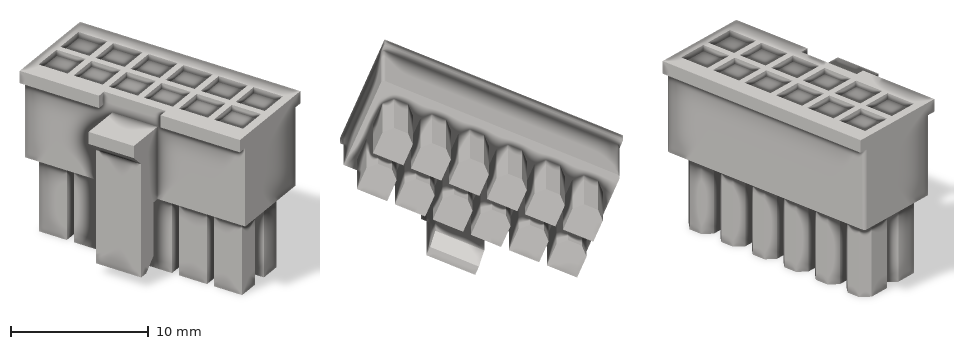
import cadquery as cq


width = 18.85
overall_depth = 10.85
overall_height = 14.0

flange_depth = 8.3
flange_height = 1.04
notch_width = 5.28

back_step = 0.45
front_step = 0.72
body_bottom_z = -7.63
back_corner_radius = 0.26
body_back_y = -back_step
body_front_y = -(flange_depth - front_step)

columns = 6
rows = 2
column_span = 15.0
pitch = column_span / (columns - 1)
pocket_size = 2.49
pocket_depth = 0.5
pocket_back_row_y = -2.55
leg_size = 2.4
leg_chamfer = 0.65
leg_back_row_y = -2.64

latch_width = 3.86
latch_top_z = -1.55
latch_bottom_z = -13.12
latch_gap = 0.58
latch_thickness = 1.68
latch_tip_chamfer = 0.98
hook_face_height = 1.02
hook_front_y = -overall_depth
latch_inner_y = body_front_y - latch_gap
latch_outer_y = latch_inner_y - latch_thickness
hook_overhang = latch_outer_y - hook_front_y


def block(size_x, back_y, front_y, top_z, bottom_z):
    """Box centred on X = 0 between the given Y and Z limits."""
    return (
        cq.Workplane("XY", origin=(0, (back_y + front_y) / 2, bottom_z))
        .rect(size_x, back_y - front_y)
        .extrude(top_z - bottom_z)
    )


def grid_points(back_row_y):
    """Centres of all columns and rows, with the back row at the given Y."""
    return [
        (column * pitch - column_span / 2, back_row_y - row * pitch)
        for column in range(columns)
        for row in range(rows)
    ]


def make_housing():
    """Body with rounded back corners under a flange notched above the latch."""
    body = block(width, body_back_y, body_front_y, 0, body_bottom_z)
    body = body.edges("|Z and >Y").fillet(back_corner_radius)
    flange = block(width, 0, -flange_depth, 0, -flange_height)
    notch = block(notch_width, body_front_y, -flange_depth, 0, -flange_height)
    return body.union(flange.cut(notch))


def make_pockets():
    """Shallow square recesses in the top face."""
    return (
        cq.Workplane("XY")
        .pushPoints(grid_points(pocket_back_row_y))
        .rect(pocket_size, pocket_size)
        .extrude(-pocket_depth)
    )


def make_legs():
    """Square legs under the body, each with its two back corners chamfered."""
    leg_length = overall_height + body_bottom_z
    leg = (
        cq.Workplane("XY", origin=(0, 0, -overall_height))
        .rect(leg_size, leg_size)
        .extrude(leg_length)
        .edges("|Z and >Y")
        .chamfer(leg_chamfer)
        .val()
    )
    return (
        cq.Workplane("XY")
        .pushPoints(grid_points(leg_back_row_y))
        .eachpoint(lambda location: leg.moved(location))
    )


def make_latch():
    """Arm joined to the body front, with a hook at the top and a bevelled free tip."""
    hook_bottom_z = latch_top_z - hook_face_height
    profile = [
        (body_front_y, latch_top_z),
        (hook_front_y, latch_top_z),
        (hook_front_y, hook_bottom_z),
        (latch_outer_y, hook_bottom_z - hook_overhang),
        (latch_outer_y, latch_bottom_z),
        (latch_inner_y - latch_tip_chamfer, latch_bottom_z),
        (latch_inner_y, latch_bottom_z + latch_tip_chamfer),
        (latch_inner_y, body_bottom_z),
        (body_front_y, body_bottom_z),
    ]
    return cq.Workplane("YZ").polyline(profile).close().extrude(latch_width / 2, both=True)


result = make_housing().cut(make_pockets()).union(make_legs()).union(make_latch())